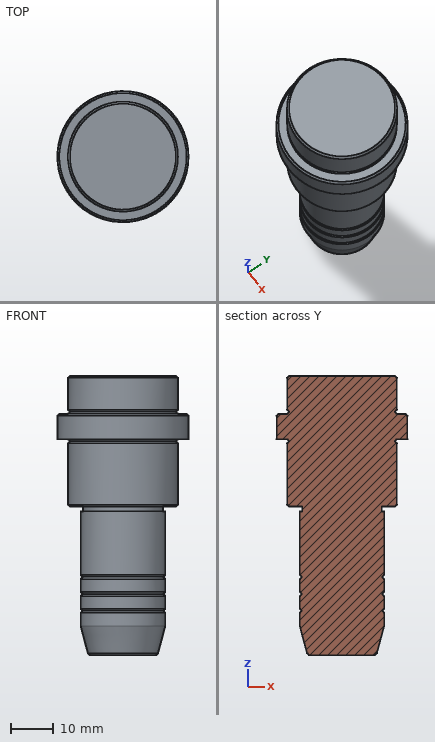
import cadquery as cq
import math

total_height = 66.0
collar_radius = 15.5
body_radius = 13.0
shank_radius = 10.0
neck_radius = 9.5

head_bottom = 58.0
collar_top = 57.0
collar_bottom = 51.0
body_top = 50.0
body_bottom = 35.1
shank_top = 34.0
taper_height = 7.0

chamfer = 0.5
groove_width = 1.0
groove_depth = groove_width / 2
shank_groove_bottoms = (10.0, 14.0, 18.0)
taper_angle = 15.0


def cylinder(radius, bottom, top):
    return cq.Workplane("XY").workplane(offset=bottom).circle(radius).extrude(top - bottom)


def grooved_link(bottom, top):
    """Waisted section between two faces, with a V groove around it."""
    waist_radius = body_radius - groove_depth
    profile = [
        (0, bottom),
        (body_radius, bottom),
        (waist_radius, (bottom + top) / 2),
        (body_radius, top),
        (0, top),
    ]
    return cq.Workplane("XZ").polyline(profile).close().revolve(360, (0, 0, 0), (0, 1, 0))


def v_groove(radius, bottom):
    """Ring with a triangular section that cuts a V groove into a cylinder."""
    profile = [
        (radius, bottom),
        (radius - groove_depth, bottom + groove_width / 2),
        (radius, bottom + groove_width),
    ]
    return cq.Workplane("XZ").polyline(profile).close().revolve(360, (0, 0, 0), (0, 1, 0))


def tapered_tip():
    """Conical end of the shank with a broken edge at the bottom."""
    slope = math.tan(math.radians(taper_angle))
    edge_radius = shank_radius - (taper_height - chamfer) * slope
    profile = [
        (0, 0),
        (edge_radius - chamfer, 0),
        (edge_radius, chamfer),
        (shank_radius, taper_height),
        (0, taper_height),
    ]
    return cq.Workplane("XZ").polyline(profile).close().revolve(360, (0, 0, 0), (0, 1, 0))


shank = cylinder(shank_radius, taper_height, shank_top)
for groove_bottom in shank_groove_bottoms:
    shank = shank.cut(v_groove(shank_radius, groove_bottom))

neck = cylinder(neck_radius, shank_top, body_bottom)
body = cylinder(body_radius, body_bottom, body_top).faces("<Z").edges().chamfer(chamfer)
collar = cylinder(collar_radius, collar_bottom, collar_top).faces(">Z").edges().chamfer(chamfer)
head = cylinder(body_radius, head_bottom, total_height).faces(">Z").edges().chamfer(chamfer)

result = (
    tapered_tip()
    .union(shank)
    .union(neck)
    .union(body)
    .union(grooved_link(body_top, collar_bottom))
    .union(collar)
    .union(grooved_link(collar_top, head_bottom))
    .union(head)
)